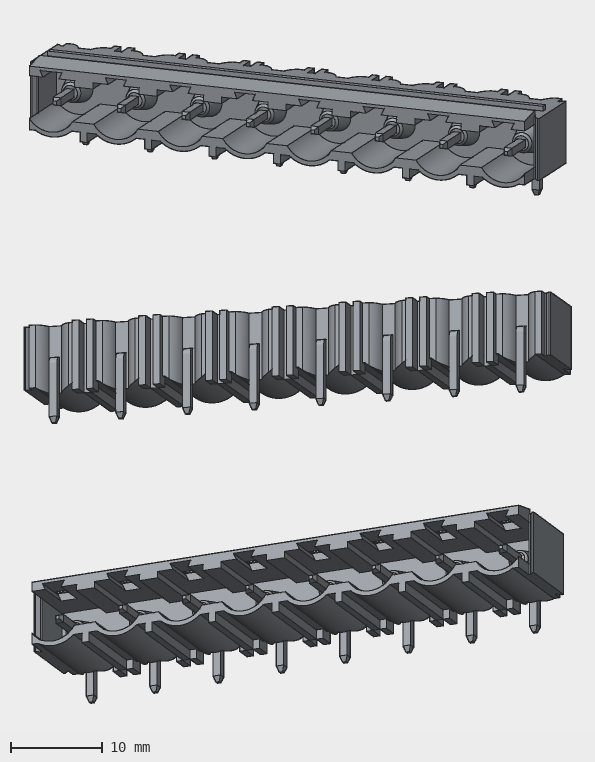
import cadquery as cq


pin_count = 8
row_length = 53.35
pin_axis_z = 3.8

total_length = 60.15
body_length = 58.6
back_y = 10.7
shell_top_z = 7.75
end_bottom_z = 0.7

cavity_depth = 7.8
cavity_top_z = 6.85
trough_outer_radius = 3.6
trough_inner_radius = 3.05
bridge_bottom_z = 1.1
bridge_top_z = 2.15
end_widening = 0.1
tab_width = 2.15
tab_drop = 0.7

boss_base_radius = 1.7
boss_tip_radius = 1.1
boss_height = 2.4
boss_chamfer = 0.25

lip_peak_z = 8.4
lip_front_z = 7.95
lip_peak_y = 2.9
lip_back_y = 3.05
rib_front_y = 5.25
rib_width = 0.7
rib_top_z = 8.3

slot_depth = 4.15
slot_bottom_width = 1.8
slot_top_width = 2.45
slot_top_z = 7.6

flange_front_y = 2.2
flange_back_y = 10.0
flange_bevel = 0.4
flange_neck = 0.2

finger_back_y = 11.7
finger_width = 0.8
finger_gap = 0.85
finger_gap_floor_y = 9.8
scallop_floor_width = 1.45
scallop_mouth_width = 3.7
scallop_bulge = 0.1

pin_width = 0.9
arm_height = 0.9
leg_front_y = 9.45
pin_tip_y = 0.95
pin_bottom_z = -3.2
pin_taper = 0.65
pin_tip_width = 0.4
pin_bend_radius = 0.85

pitch = row_length / (pin_count - 1)
half_body = body_length / 2
leg_center_y = leg_front_y + pin_width / 2
pin_xs = [(i - (pin_count - 1) / 2) * pitch for i in range(pin_count)]
arm_bottom_z = pin_axis_z - arm_height / 2
arm_top_z = pin_axis_z + arm_height / 2
gap_xs = [x + pitch / 2 for x in pin_xs[:-1]]


def block(x0, x1, y0, y1, z0, z1):
    """Box between two opposite corners."""
    return cq.Workplane("XY").box(x1 - x0, y1 - y0, z1 - z0, centered=False).translate((x0, y0, z0))


def prism_along_y(points, y0, y1):
    """Polygon of (x, z) points extruded from y0 to y1."""
    return cq.Workplane("XZ", origin=(0, y0, 0)).polyline(points).close().extrude(y0 - y1)


def prism_along_x(points):
    """Polygon of (y, z) points extruded over the whole body length."""
    return cq.Workplane("YZ", origin=(-half_body, 0, 0)).polyline(points).close().extrude(body_length)


def cylinder_along_y(x, radius, y0, y1):
    """Cylinder on a pin axis from y0 to y1."""
    return cq.Workplane("XZ", origin=(x, y0, pin_axis_z)).circle(radius).extrude(y0 - y1)


def outward_shift(x):
    """Sideways shift that gives the two end pins more room towards the ends."""
    if x == pin_xs[0]:
        return -end_widening
    if x == pin_xs[-1]:
        return end_widening
    return 0


def shell_blank():
    """Body outside: flat top, scalloped underside."""
    body = block(-half_body, half_body, 0, back_y, bridge_bottom_z, shell_top_z)
    for x in pin_xs:
        body = body.union(cylinder_along_y(x, trough_outer_radius, 0, back_y))
    for side in (-1, 1):
        x0, x1 = sorted((side * half_body, side * pin_xs[-1]))
        body = body.union(block(x0, x1, 0, back_y, end_bottom_z, shell_top_z))
    envelope = block(-half_body, half_body, 0, back_y, 0, shell_top_z)
    return body.intersect(envelope)


def end_flange(side):
    """Dovetail flange that widens outwards; it also closes the end of the cavity."""
    outer_x = side * total_length / 2
    neck_x = side * (half_body + flange_neck)
    bevel_x = neck_x + side * flange_bevel
    root_x = side * half_body
    outline = [
        (root_x, flange_front_y + flange_bevel),
        (neck_x, flange_front_y + flange_bevel),
        (bevel_x, flange_front_y),
        (outer_x, flange_front_y),
        (outer_x, flange_back_y),
        (bevel_x, flange_back_y),
        (neck_x, flange_back_y - flange_bevel),
        (root_x, flange_back_y - flange_bevel),
    ]
    height = shell_top_z - end_bottom_z
    return cq.Workplane("XY", origin=(0, 0, end_bottom_z)).polyline(outline).close().extrude(height)


def cavity():
    """Space for the mating plug: rounded troughs joined over flat bridges, with tabs left above."""
    space = block(-half_body, half_body, 0, cavity_depth, bridge_top_z, cavity_top_z)
    for x in pin_xs:
        trough_x = x + outward_shift(x)
        space = space.union(cylinder_along_y(trough_x, trough_inner_radius, 0, cavity_depth))
    limit = block(-half_body, half_body, 0, cavity_depth, 0, cavity_top_z)
    space = space.intersect(limit)
    for x in gap_xs:
        tab = block(x - tab_width / 2, x + tab_width / 2, 0, cavity_depth,
                    cavity_top_z - tab_drop, cavity_top_z)
        space = space.cut(tab)
    return space


def boss(x):
    """Conical boss that carries a pin out of the cavity's back wall."""
    return (
        cq.Workplane("XZ", origin=(x, cavity_depth, pin_axis_z))
        .circle(boss_base_radius)
        .workplane(offset=boss_height)
        .circle(boss_tip_radius)
        .loft()
        .faces("<Y")
        .chamfer(boss_chamfer)
    )


def lip():
    """Latch lip with a sloping top along the front edge."""
    return prism_along_x([
        (0, cavity_top_z),
        (0, lip_front_z),
        (lip_peak_y, lip_peak_z),
        (lip_back_y, shell_top_z),
        (lip_back_y, cavity_top_z),
    ])


def top_rib():
    """Low rib along the top face."""
    return block(-half_body, half_body, rib_front_y, rib_front_y + rib_width, shell_top_z, rib_top_z)


def coding_slot(x):
    """Dovetail slot under the lip, open to the top behind it."""
    left = x + min(outward_shift(x), 0)
    right = x + max(outward_shift(x), 0)
    half_bottom = slot_bottom_width / 2
    half_top = slot_top_width / 2
    dovetail = prism_along_y([
        (left - half_bottom, cavity_top_z),
        (left - half_top, slot_top_z),
        (right + half_top, slot_top_z),
        (right + half_bottom, cavity_top_z),
    ], 0, slot_depth)
    window = block(left - half_top, right + half_top, lip_back_y, slot_depth, slot_top_z, shell_top_z)
    return dovetail.union(window)


def finger_pair(x):
    """Two fingers behind the body, standing on the seating plane."""
    half_pair = finger_gap / 2 + finger_width
    return block(x - half_pair, x + half_pair, finger_gap_floor_y, finger_back_y, 0, shell_top_z)


def finger_slot(x):
    """Gap between two fingers."""
    return block(x - finger_gap / 2, x + finger_gap / 2, finger_gap_floor_y, finger_back_y, 0, shell_top_z)


def foot_rib(x):
    """Rib under a bridge, from the mating face to the fingers."""
    return block(x - finger_gap / 2, x + finger_gap / 2, 0, finger_gap_floor_y, 0, bridge_bottom_z)


def scallop(x):
    """Full-height recess with bulging flanks that leaves a pin's leg free."""
    half_floor = scallop_floor_width / 2
    half_mouth = scallop_mouth_width / 2
    flank_x = (half_floor + half_mouth) / 2 - scallop_bulge
    flank_y = (leg_front_y + back_y) / 2 + scallop_bulge
    return (
        cq.Workplane("XY")
        .moveTo(x - half_floor, leg_front_y)
        .lineTo(x + half_floor, leg_front_y)
        .threePointArc((x + flank_x, flank_y), (x + half_mouth, back_y))
        .lineTo(x - half_mouth, back_y)
        .threePointArc((x - flank_x, flank_y), (x - half_floor, leg_front_y))
        .close()
        .extrude(shell_top_z)
    )


def pin_hole(x):
    """Rectangular hole through the boss and the back wall."""
    half = pin_width / 2
    return block(x - half, x + half, cavity_depth - boss_height, leg_front_y,
                 arm_bottom_z, arm_top_z)


def make_housing():
    housing = shell_blank().union(lip()).union(top_rib())
    for side in (-1, 1):
        housing = housing.union(end_flange(side))
    housing = housing.cut(cavity())
    for x in gap_xs:
        housing = housing.union(finger_pair(x)).union(foot_rib(x)).cut(finger_slot(x))
    for x in pin_xs:
        housing = housing.union(boss(x)).cut(coding_slot(x)).cut(scallop(x)).cut(pin_hole(x))
    return housing.solids()


def tapered_tip(plane, origin, height):
    """Pyramid stub of a pin end, narrowing along the plane's normal."""
    return (
        cq.Workplane(plane, origin=origin)
        .rect(pin_width, height)
        .workplane(offset=pin_taper)
        .rect(pin_tip_width, pin_tip_width)
        .loft()
    )


def make_pin(x):
    """Angled pin with a contact arm along Y and a solder leg down Z."""
    half = pin_width / 2
    leg_back_y = leg_front_y + pin_width
    leg_start_z = pin_bottom_z + pin_taper
    arm_start_y = pin_tip_y + pin_taper
    arm = block(x - half, x + half, arm_start_y, leg_back_y, arm_bottom_z, arm_top_z)
    leg = block(x - half, x + half, leg_front_y, leg_back_y, leg_start_z, arm_top_z)
    bend_edge = cq.selectors.NearestToPointSelector((x, leg_back_y, arm_top_z))
    angle = arm.union(leg).clean().edges(bend_edge).fillet(pin_bend_radius)
    arm_tip = tapered_tip("XZ", (x, arm_start_y, pin_axis_z), arm_height)
    leg_tip = tapered_tip("XY", (x, leg_center_y, leg_start_z), pin_width).mirror("XY", (0, 0, leg_start_z))
    return angle.union(arm_tip).union(leg_tip).solids()


housing = make_housing()
pins = [make_pin(x) for x in pin_xs]

result = cq.Compound.makeCompound([housing.val()] + [pin.val() for pin in pins])